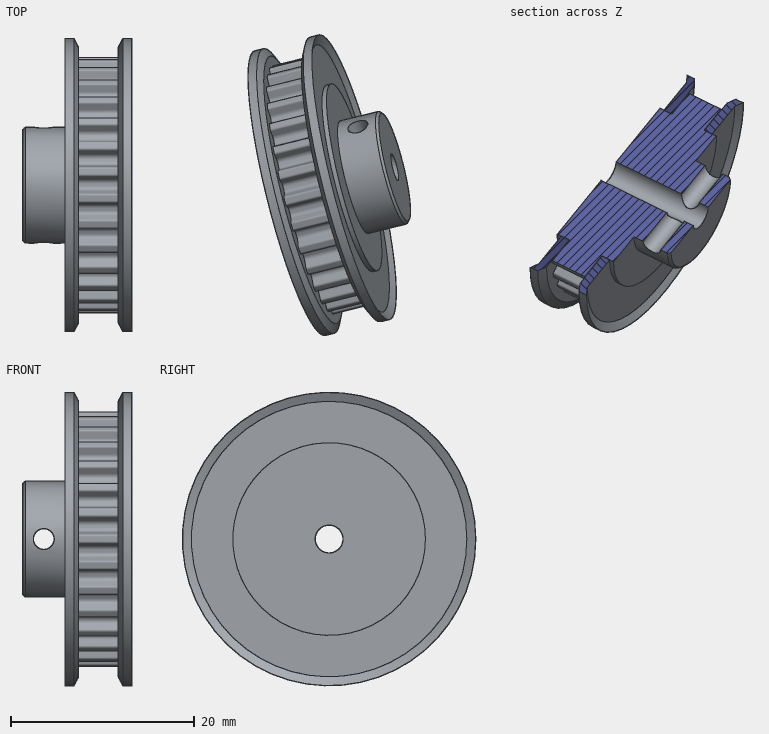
import cadquery as cq
import math


HUB_LENGTH = 4.6
HUB_RADIUS = 6.35
HUB_CHAMFER = 0.3
BORE_DIAMETER = 3.0

SCREW_HOLE_DIAMETER = 2.25
SCREW_HOLE_X = HUB_LENGTH / 2

FLANGE_RADIUS = 16.0
FLANGE_FLAT_RADIUS = 15.0
FLANGE_SEAT_RADIUS = 10.5
FLANGE_THICKNESS = 1.0
RIM_OFFSET = 0.5
FLANGE_WIDTH = FLANGE_THICKNESS + RIM_OFFSET

TOTAL_LENGTH = 11.9
BODY_LENGTH = TOTAL_LENGTH - HUB_LENGTH
TRACK_START = HUB_LENGTH + FLANGE_WIDTH
TRACK_WIDTH = BODY_LENGTH - 2 * FLANGE_WIDTH

TOOTH_COUNT = 30
TIP_RADIUS = 13.92
ROOT_RADIUS = 12.77
ROOT_HALF_WIDTH = 0.48
FLANK_ANGLE = 25.0
ROOT_FILLET = 0.55
TIP_FILLET = 0.25
CUTTER_OVERSHOOT = 0.32


def cylinder(radius, start, length):
    """Solid cylinder on the X axis, from x = start."""
    return cq.Workplane("YZ").workplane(offset=start).circle(radius).extrude(length)


def make_groove():
    """Cutter for the tooth groove on the +Z side, with rounded root corners."""
    top = TIP_RADIUS + CUTTER_OVERSHOOT
    top_half_width = ROOT_HALF_WIDTH + (top - ROOT_RADIUS) * math.tan(math.radians(FLANK_ANGLE))
    return (
        cq.Workplane("YZ")
        .workplane(offset=TRACK_START)
        .polyline([
            (-ROOT_HALF_WIDTH, ROOT_RADIUS),
            (ROOT_HALF_WIDTH, ROOT_RADIUS),
            (top_half_width, top),
            (-top_half_width, top),
        ])
        .close()
        .extrude(TRACK_WIDTH)
        .edges("|X and <Z")
        .fillet(ROOT_FILLET)
    )


def make_track():
    """Toothed ring: a cylinder with evenly spaced grooves and rounded tooth tips."""
    groove = make_groove()
    track = cylinder(TIP_RADIUS, TRACK_START, TRACK_WIDTH)
    for index in range(TOOTH_COUNT):
        angle = index * 360 / TOOTH_COUNT
        track = track.cut(groove.rotate((0, 0, 0), (1, 0, 0), angle))
    tip_edges = track.edges("|X").filter(
        lambda edge: math.hypot(edge.Center().y, edge.Center().z) > TIP_RADIUS - TIP_FILLET
    )
    return tip_edges.fillet(TIP_FILLET)


def make_pulley():
    """Hub, flange seats and toothed track in one piece."""
    hub = cylinder(HUB_RADIUS, 0, HUB_LENGTH).faces("<X").chamfer(HUB_CHAMFER)
    core = cylinder(FLANGE_SEAT_RADIUS, HUB_LENGTH, BODY_LENGTH)
    bore = cylinder(BORE_DIAMETER / 2, 0, TOTAL_LENGTH)
    screw_hole = (
        cq.Workplane("XZ")
        .center(SCREW_HOLE_X, 0)
        .circle(SCREW_HOLE_DIAMETER / 2)
        .extrude(HUB_RADIUS, both=True)
    )
    return hub.union(core).union(make_track()).cut(bore).cut(screw_hole)


def make_flange(rim_x, inward):
    """Ring with its rim edge at rim_x; inward is +1 or -1, the X direction towards the belt."""
    rim_inner_x = rim_x + inward * FLANGE_THICKNESS
    plate_outer_x = rim_x + inward * RIM_OFFSET
    plate_inner_x = rim_x + inward * FLANGE_WIDTH
    return (
        cq.Workplane("XY")
        .polyline([
            (plate_outer_x, FLANGE_SEAT_RADIUS),
            (plate_outer_x, FLANGE_FLAT_RADIUS),
            (rim_x, FLANGE_RADIUS),
            (rim_inner_x, FLANGE_RADIUS),
            (plate_inner_x, FLANGE_FLAT_RADIUS),
            (plate_inner_x, FLANGE_SEAT_RADIUS),
        ])
        .close()
        .revolve(360, (0, 0, 0), (1, 0, 0))
    )


pulley = make_pulley()
flanges = [
    make_flange(rim_x, inward).val()
    for rim_x, inward in ((HUB_LENGTH, 1), (TOTAL_LENGTH, -1))
]

result = cq.Compound.makeCompound([pulley.val(), *flanges])